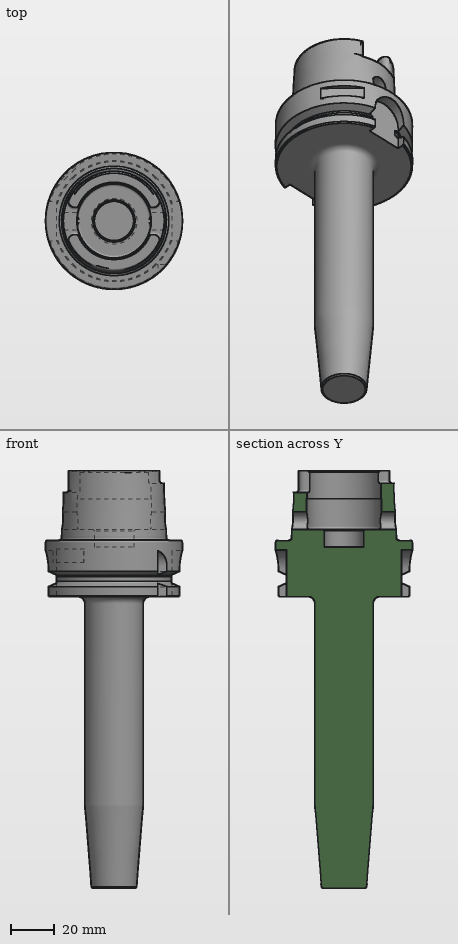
import cadquery as cq
import math

FLANGE_RADIUS = 63.0 / 2
TAPER_HEIGHT = 32.0
PROJECTION = 160.0

TAPER_TOP_RADIUS = 22.85
TAPER_BASE_RADIUS = 24.15
NECK_HEIGHT = 2.0
NECK_FILLET = 0.9
NECK_LEDGE_HEIGHT = 0.2
NECK_LEDGE_RADIUS = 25.2
TAPER_RIM_FILLET = 0.9

FLANGE_THICKNESS = 26.0
FLANGE_TOP_FILLET = 1.0
FLANGE_BOTTOM_CHAMFER = 0.6
GROOVE_RADIUS = 27.4
GROOVE_CENTER_Z = -17.8
GROOVE_FLOOR_WIDTH = 3.2
GROOVE_FLANK_ANGLE = 25.0
GROOVE_FLOOR_FILLET = 0.8

SHANK_RADIUS = 27.0 / 2
SHANK_FILLET = 3.0
NOSE_RADIUS = 21.0 / 2
NOSE_HALF_ANGLE = 4.5
NOSE_CHAMFER = 0.7

BORE_RADIUS = 17.0
BORE_RIM_CHAMFER = 0.8
RELIEF_RADIUS = 17.2
RELIEF_TOP_Z = 19.0
BORE_FLOOR_Z = 5.0
BORE_FLOOR_FILLET = 1.4
PILOT_RADIUS = 9.0
PILOT_DEPTH = 8.0
PILOT_CHAMFER = 0.7

CROSS_HOLE_RADIUS = 4.0
CROSS_HOLE_Z = 9.0

NOTCH_HALF_WIDTH = 6.3
NOTCH_LIP_RADIUS = 2.7
NOTCH_FLOOR_FILLET = 1.2
NOTCH_TANGENT_RADIUS = 23.05
NOTCH_LEAD_OUT = 4.0
NEGATIVE_X_NOTCH_DEPTH = 10.0
POSITIVE_X_NOTCH_DEPTH = 5.7

DRIVE_SLOT_RADIUS = 9.0
DRIVE_SLOT_TOP_Z = -4.5
DRIVE_SLOT_FLOOR_X = 26.5

INDEX_FLOOR_X = 20.1
INDEX_WALL_Y = -20.0
INDEX_ARC_RADIUS = 8.0
INDEX_ARC_CENTER_Z = -11.9

FLAT_LENGTH = 20.0
FLAT_HEIGHT = 6.0
FLAT_CENTER_Z = -7.0
FLAT_DISTANCE = 29.7
FLAT_DIRECTION = 135

SELECTION_MARGIN = 0.1

CLEARANCE = 5.0


def revolved_body():
    """Outer shape of taper, flange, shank and nose as one solid of revolution."""
    flank_angle = math.radians(GROOVE_FLANK_ANGLE)
    flank_rise = (FLANGE_RADIUS - GROOVE_RADIUS) * math.tan(flank_angle)
    fillet_reach = GROOVE_FLOOR_FILLET * math.tan((math.pi / 2 - flank_angle) / 2)
    fillet_radius_end = GROOVE_RADIUS + fillet_reach * math.cos(flank_angle)
    fillet_rise = fillet_reach * math.sin(flank_angle)
    floor_top = GROOVE_CENTER_Z + GROOVE_FLOOR_WIDTH / 2
    floor_bottom = GROOVE_CENTER_Z - GROOVE_FLOOR_WIDTH / 2
    nose_length = (SHANK_RADIUS - NOSE_RADIUS) / math.tan(math.radians(NOSE_HALF_ANGLE))
    neck_mid = NECK_FILLET * (1 - math.sqrt(0.5))
    shank_mid = SHANK_FILLET * (1 - math.sqrt(0.5))
    rim_mid = TAPER_RIM_FILLET * (1 - math.sqrt(0.5))
    edge_mid = FLANGE_TOP_FILLET * (1 - math.sqrt(0.5))
    profile = (
        cq.Workplane("XZ")
        .moveTo(0, TAPER_HEIGHT)
        .lineTo(TAPER_TOP_RADIUS - TAPER_RIM_FILLET, TAPER_HEIGHT)
        .threePointArc(
            (TAPER_TOP_RADIUS - rim_mid, TAPER_HEIGHT - rim_mid),
            (TAPER_TOP_RADIUS, TAPER_HEIGHT - TAPER_RIM_FILLET),
        )
        .lineTo(TAPER_BASE_RADIUS, NECK_HEIGHT)
        .lineTo(TAPER_BASE_RADIUS, NECK_LEDGE_HEIGHT + NECK_FILLET)
        .threePointArc(
            (TAPER_BASE_RADIUS + neck_mid, NECK_LEDGE_HEIGHT + neck_mid),
            (TAPER_BASE_RADIUS + NECK_FILLET, NECK_LEDGE_HEIGHT),
        )
        .lineTo(NECK_LEDGE_RADIUS, NECK_LEDGE_HEIGHT)
        .lineTo(NECK_LEDGE_RADIUS, 0)
        .lineTo(FLANGE_RADIUS - FLANGE_TOP_FILLET, 0)
        .threePointArc(
            (FLANGE_RADIUS - edge_mid, -edge_mid),
            (FLANGE_RADIUS, -FLANGE_TOP_FILLET),
        )
        .lineTo(FLANGE_RADIUS, floor_top + flank_rise)
        .lineTo(fillet_radius_end, floor_top + fillet_rise)
        .tangentArcPoint((GROOVE_RADIUS, floor_top - fillet_reach), relative=False)
        .lineTo(GROOVE_RADIUS, floor_bottom + fillet_reach)
        .tangentArcPoint((fillet_radius_end, floor_bottom - fillet_rise), relative=False)
        .lineTo(FLANGE_RADIUS, floor_bottom - flank_rise)
        .lineTo(FLANGE_RADIUS, FLANGE_BOTTOM_CHAMFER - FLANGE_THICKNESS)
        .lineTo(FLANGE_RADIUS - FLANGE_BOTTOM_CHAMFER, -FLANGE_THICKNESS)
        .lineTo(SHANK_RADIUS + SHANK_FILLET, -FLANGE_THICKNESS)
        .threePointArc(
            (SHANK_RADIUS + shank_mid, -FLANGE_THICKNESS - shank_mid),
            (SHANK_RADIUS, -FLANGE_THICKNESS - SHANK_FILLET),
        )
        .lineTo(SHANK_RADIUS, nose_length - PROJECTION)
        .lineTo(NOSE_RADIUS, NOSE_CHAMFER - PROJECTION)
        .lineTo(NOSE_RADIUS - NOSE_CHAMFER, -PROJECTION)
        .lineTo(0, -PROJECTION)
        .close()
    )
    body = profile.revolve(360, (0, 0, 0), (0, 1, 0))
    return body.rotate((0, 0, 0), (0, 0, 1), -90)


def bore_cutter():
    """Stepped clamping bore with a filleted floor and a blind pilot hole in that floor."""
    fillet_mid = BORE_FLOOR_FILLET * (1 - math.sqrt(0.5))
    profile = (
        cq.Workplane("XZ")
        .moveTo(0, TAPER_HEIGHT)
        .lineTo(BORE_RADIUS + BORE_RIM_CHAMFER, TAPER_HEIGHT)
        .lineTo(BORE_RADIUS, TAPER_HEIGHT - BORE_RIM_CHAMFER)
        .lineTo(BORE_RADIUS, RELIEF_TOP_Z)
        .lineTo(RELIEF_RADIUS, RELIEF_TOP_Z)
        .lineTo(RELIEF_RADIUS, BORE_FLOOR_Z + BORE_FLOOR_FILLET)
        .threePointArc(
            (RELIEF_RADIUS - fillet_mid, BORE_FLOOR_Z + fillet_mid),
            (RELIEF_RADIUS - BORE_FLOOR_FILLET, BORE_FLOOR_Z),
        )
        .lineTo(PILOT_RADIUS + PILOT_CHAMFER, BORE_FLOOR_Z)
        .lineTo(PILOT_RADIUS, BORE_FLOOR_Z - PILOT_CHAMFER)
        .lineTo(PILOT_RADIUS, BORE_FLOOR_Z - PILOT_DEPTH)
        .lineTo(0, BORE_FLOOR_Z - PILOT_DEPTH)
        .close()
    )
    return profile.revolve(360, (0, 0, 0), (0, 1, 0))


def rim_notch_cutter(depth, direction):
    """Notch through the taper wall at +X (direction 0) or -X (direction 180).

    Each wall rounds outward to run off tangentially to the taper, and the floor is filleted.
    """
    lip_y = NOTCH_HALF_WIDTH + NOTCH_LIP_RADIUS
    lip_angle = math.asin(lip_y / (NOTCH_TANGENT_RADIUS - NOTCH_LIP_RADIUS))
    lip_x = lip_y / math.tan(lip_angle)
    inner_x = BORE_RADIUS / 2
    floor_z = TAPER_HEIGHT - depth
    outer_x = FLANGE_RADIUS

    def lip_point(angle):
        return lip_x + NOTCH_LIP_RADIUS * math.cos(angle), lip_y + NOTCH_LIP_RADIUS * math.sin(angle)

    mid = lip_point((lip_angle - math.pi / 2) / 2)
    end = lip_point(lip_angle)
    run_off = (
        end[0] - NOTCH_LEAD_OUT * math.sin(lip_angle),
        end[1] + NOTCH_LEAD_OUT * math.cos(lip_angle),
    )
    cutter = (
        cq.Workplane("XY")
        .workplane(offset=floor_z)
        .moveTo(inner_x, -NOTCH_HALF_WIDTH)
        .lineTo(lip_x, -NOTCH_HALF_WIDTH)
        .threePointArc((mid[0], -mid[1]), (end[0], -end[1]))
        .lineTo(run_off[0], -run_off[1])
        .lineTo(outer_x, -run_off[1])
        .lineTo(outer_x, run_off[1])
        .lineTo(*run_off)
        .lineTo(*end)
        .threePointArc(mid, (lip_x, NOTCH_HALF_WIDTH))
        .lineTo(inner_x, NOTCH_HALF_WIDTH)
        .close()
        .extrude(depth + CLEARANCE)
    )
    wall_zone = cq.selectors.BoxSelector(
        (inner_x + SELECTION_MARGIN, -run_off[1] + SELECTION_MARGIN, floor_z - SELECTION_MARGIN),
        (outer_x - SELECTION_MARGIN, run_off[1] - SELECTION_MARGIN, floor_z + SELECTION_MARGIN),
    )
    cutter = cutter.edges(wall_zone).fillet(NOTCH_FLOOR_FILLET)
    return cutter.rotate((0, 0, 0), (0, 0, 1), direction)


def cross_hole_cutter():
    """Radial holes through both sides of the taper wall along X."""
    return (
        cq.Workplane("YZ")
        .center(0, CROSS_HOLE_Z)
        .circle(CROSS_HOLE_RADIUS)
        .extrude(FLANGE_RADIUS, both=True)
    )


def drive_slot_cutter(direction):
    """Round-topped slot in the flange, open downward, with a flat floor."""
    arc_center_z = DRIVE_SLOT_TOP_Z - DRIVE_SLOT_RADIUS
    bottom_z = -FLANGE_THICKNESS - CLEARANCE
    slot = (
        cq.Workplane("YZ")
        .workplane(offset=DRIVE_SLOT_FLOOR_X)
        .moveTo(-DRIVE_SLOT_RADIUS, bottom_z)
        .lineTo(-DRIVE_SLOT_RADIUS, arc_center_z)
        .threePointArc((0, DRIVE_SLOT_TOP_Z), (DRIVE_SLOT_RADIUS, arc_center_z))
        .lineTo(DRIVE_SLOT_RADIUS, bottom_z)
        .close()
        .extrude(FLANGE_RADIUS - DRIVE_SLOT_FLOOR_X + CLEARANCE)
    )
    return slot.rotate((0, 0, 0), (0, 0, 1), direction)


def index_notch_cutter():
    """Corner notch with one straight wall that curves over at the top."""
    arc_center_y = INDEX_WALL_Y - INDEX_ARC_RADIUS
    outer_y = arc_center_y - CLEARANCE
    arc_mid = INDEX_ARC_RADIUS * math.sqrt(0.5)
    return (
        cq.Workplane("YZ")
        .workplane(offset=INDEX_FLOOR_X)
        .moveTo(INDEX_WALL_Y, -FLANGE_THICKNESS)
        .lineTo(INDEX_WALL_Y, INDEX_ARC_CENTER_Z)
        .threePointArc(
            (arc_center_y + arc_mid, INDEX_ARC_CENTER_Z + arc_mid),
            (arc_center_y, INDEX_ARC_CENTER_Z + INDEX_ARC_RADIUS),
        )
        .lineTo(outer_y, INDEX_ARC_CENTER_Z + INDEX_ARC_RADIUS)
        .lineTo(outer_y, -FLANGE_THICKNESS)
        .close()
        .extrude(FLANGE_RADIUS - INDEX_FLOOR_X)
    )


def marking_flat_cutter():
    """Shallow rectangular flat on the flange rim, facing midway between -X and +Y."""
    return (
        cq.Workplane("XY")
        .box(CLEARANCE, FLAT_LENGTH, FLAT_HEIGHT, centered=(False, True, True))
        .translate((FLAT_DISTANCE, 0, FLAT_CENTER_Z))
        .rotate((0, 0, 0), (0, 0, 1), FLAT_DIRECTION)
    )


result = (
    revolved_body()
    .cut(bore_cutter())
    .cut(cross_hole_cutter())
    .cut(rim_notch_cutter(POSITIVE_X_NOTCH_DEPTH, 0))
    .cut(rim_notch_cutter(NEGATIVE_X_NOTCH_DEPTH, 180))
    .cut(drive_slot_cutter(0))
    .cut(drive_slot_cutter(180))
    .cut(index_notch_cutter())
    .cut(marking_flat_cutter())
)